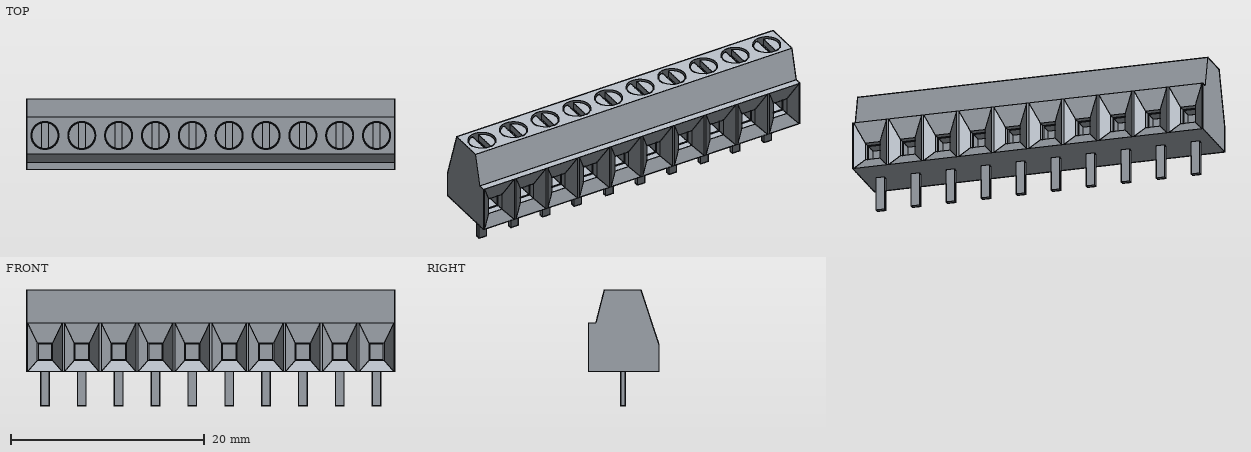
import cadquery as cq


pole_count = 10
pitch = 3.8
length = pole_count * pitch

depth = 7.3
height = 8.45
ledge_height = 5.03
ledge_depth = 0.75
top_front = 1.65
top_back = 5.45
back_wall_height = 2.8

funnel_width = 3.6
funnel_depth = 0.85
socket_width = 1.6
socket_height = 1.83
socket_end = 1.6
socket_center_z = 2.05
clamp_rim = 0.1
clamp_width = socket_width - 2 * clamp_rim
clamp_height = socket_height - 2 * clamp_rim
clamp_end = 3.05

screw_center_y = (top_front + top_back) / 2
bore_diameter = 2.9
bore_depth = 1.52
screw_diameter = 2.7
screw_recess = 0.2
slot_width = 0.72
slot_depth = 0.75

pin_width = 0.9
pin_thickness = 0.5
pin_length = 3.55
pin_center_y = 3.6


def make_housing():
    """Extrude the side profile along the whole row."""
    profile = [
        (0, 0),
        (0, ledge_height),
        (ledge_depth, ledge_height),
        (top_front, height),
        (top_back, height),
        (depth, back_wall_height),
        (depth, 0),
    ]
    return cq.Workplane("YZ").polyline(profile).close().extrude(length)


def rectangular_recess(pole_x, width, opening_height, end_y):
    """Box reaching from the front face back to end_y, centred on the socket."""
    return (
        cq.Workplane("XY")
        .box(width, end_y, opening_height, centered=(True, False, True))
        .translate((pole_x, 0, socket_center_z))
    )


def make_wire_entry(pole_x):
    """Cutter for one wire entry; the funnel tapers to the size of the socket."""
    front_face = cq.Plane(origin=(pole_x, 0, 0), xDir=(1, 0, 0), normal=(0, -1, 0))
    funnel = (
        cq.Workplane(front_face)
        .center(0, ledge_height / 2)
        .rect(funnel_width, ledge_height)
        .workplane(offset=-funnel_depth)
        .center(0, socket_center_z - ledge_height / 2)
        .rect(socket_width, socket_height)
        .loft(ruled=True)
    )
    socket = rectangular_recess(pole_x, socket_width, socket_height, socket_end)
    clamp_opening = rectangular_recess(pole_x, clamp_width, clamp_height, clamp_end)
    return funnel.union(socket).union(clamp_opening)


def make_screw_bore(pole_x):
    """Cutter for the round space around and above one screw head."""
    floor_z = height - bore_depth
    screw_height = bore_depth - screw_recess
    base = cq.Workplane("XY").workplane(offset=floor_z).center(pole_x, screw_center_y)
    bore = base.circle(bore_diameter / 2).extrude(bore_depth)
    screw = base.circle(screw_diameter / 2).extrude(screw_height)
    slot = (
        base.workplane(offset=screw_height - slot_depth)
        .rect(slot_width, bore_diameter)
        .extrude(slot_depth)
    )
    return bore.cut(screw.cut(slot))


def make_pin(pole_x):
    """One rectangular solder pin below the housing."""
    return (
        cq.Workplane("XY")
        .center(pole_x, pin_center_y)
        .rect(pin_width, pin_thickness)
        .extrude(-pin_length)
    )


result = make_housing()
for pole in range(pole_count):
    center_x = (pole + 0.5) * pitch
    result = result.cut(make_wire_entry(center_x))
    result = result.cut(make_screw_bore(center_x))
    result = result.union(make_pin(center_x))